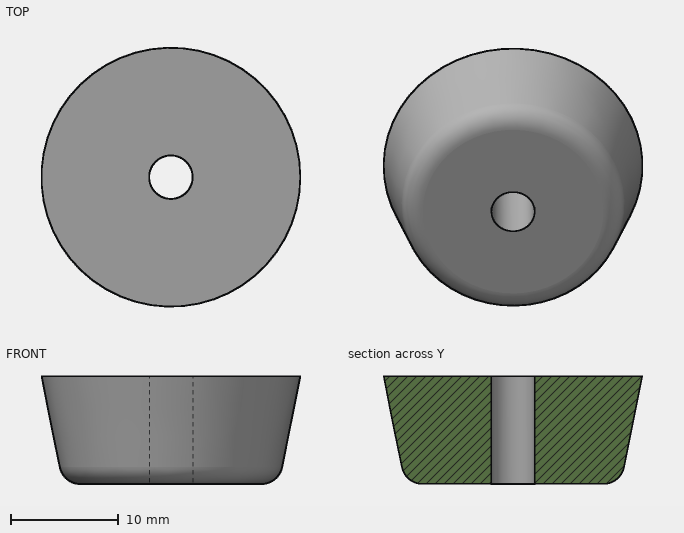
import cadquery as cq

top_diameter = 24.0
bottom_diameter = 20.0
height = 10.0
edge_radius = 2.0
hole_diameter = 4.0


def make_foot():
    """Tapered round foot, wide end up, with a rounded lower edge and a central through hole."""
    cone = cq.Workplane(cq.Solid.makeCone(bottom_diameter / 2, top_diameter / 2, height))
    rounded = cone.faces("<Z").edges().fillet(edge_radius)
    bore = cq.Workplane("XY").circle(hole_diameter / 2).extrude(height)
    return rounded.cut(bore).solids()


foot = make_foot()

result = cq.Compound.makeCompound([foot.val()])